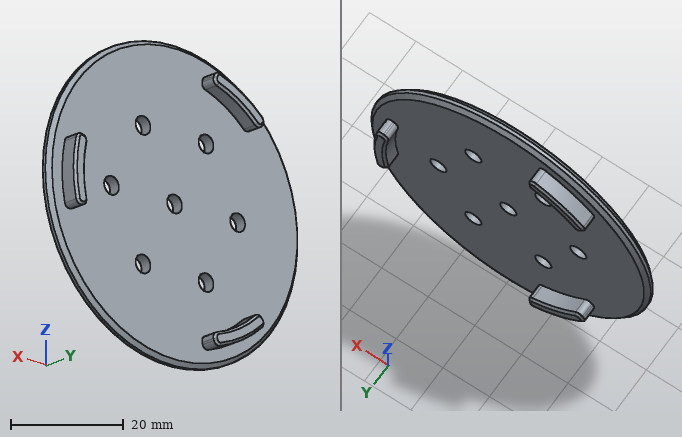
import cadquery as cq
import math

disc_diameter = 60.0
disc_thickness = 2.4
total_depth = 5.9
edge_chamfer = 0.85

hole_diameter = 3.5
hole_circle_radius = 15.0
hole_count = 6

lug_count = 3
lug_outer_radius = 26.75
lug_width = 2.5
lug_half_angle = 15.0
lug_corner_radius = 1.1
lug_top_chamfer = 0.5
lug_height = total_depth - disc_thickness


def polar(radius, angle):
    """Point at a radius and an angle in degrees."""
    return (radius * math.cos(math.radians(angle)), radius * math.sin(math.radians(angle)))


def make_disc():
    disc = cq.Workplane("XY").circle(disc_diameter / 2).extrude(disc_thickness)
    disc = disc.edges().chamfer(edge_chamfer)
    holes = (
        cq.Workplane("XY")
        .pushPoints([(0, 0)])
        .circle(hole_diameter / 2)
        .polarArray(hole_circle_radius, 0, 360, hole_count)
        .circle(hole_diameter / 2)
        .extrude(disc_thickness)
    )
    return disc.cut(holes)


def make_lug():
    """Ring segment centred on +X, with rounded corners and a chamfered top."""
    inner_radius = lug_outer_radius - lug_width
    lug = (
        cq.Workplane("XY", origin=(0, 0, disc_thickness))
        .moveTo(*polar(inner_radius, -lug_half_angle))
        .lineTo(*polar(lug_outer_radius, -lug_half_angle))
        .threePointArc(polar(lug_outer_radius, 0), polar(lug_outer_radius, lug_half_angle))
        .lineTo(*polar(inner_radius, lug_half_angle))
        .threePointArc(polar(inner_radius, 0), polar(inner_radius, -lug_half_angle))
        .close()
        .extrude(lug_height)
    )
    lug = lug.edges("|Z").fillet(lug_corner_radius)
    return lug.faces(">Z").edges().chamfer(lug_top_chamfer)


body = make_disc()
lug = make_lug()
for index in range(lug_count):
    body = body.union(lug.rotate((0, 0, 0), (0, 0, 1), index * 360 / lug_count))

result = body.rotate((0, 0, 0), (1, 0, 0), -90).translate((0, -disc_thickness / 2, 0))